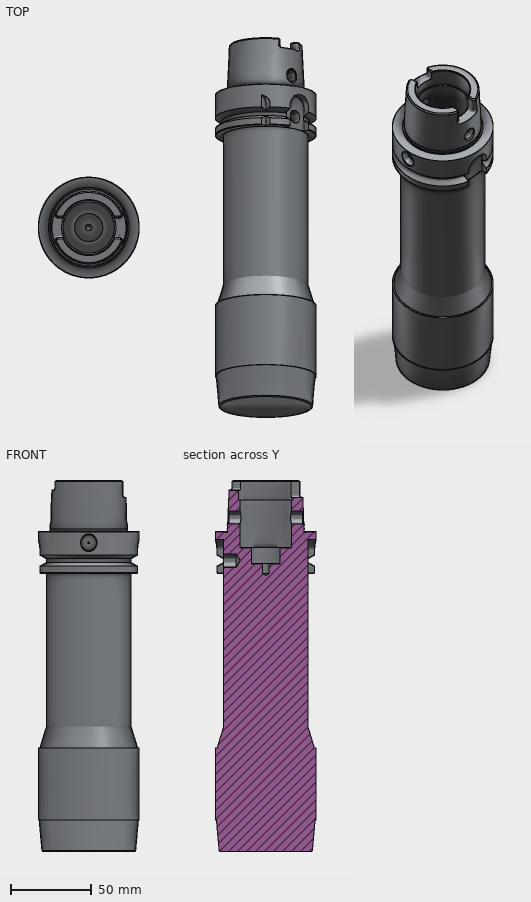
import math

import cadquery as cq

body_length = 199.9
body_radius = 26.5
head_radius = 31.5
shoulder_top_z = -122.0
shoulder_bottom_z = -135.0
shoulder_radius = 30.5
nose_top_z = -180.0
nose_top_radius = 31.0
nose_end_radius = 29.3
nose_chamfer = 0.7

flange_radius = 31.5
flange_height = 26.0
groove_top_z = -14.6
groove_bottom_z = -21.6
groove_radius = 27.5
groove_side_angle = 30
flange_chamfer = 0.4
groove_side_drop = (flange_radius - groove_radius) * math.tan(math.radians(groove_side_angle))

shank_length = 32.0
gauge_radius = 24.0
gauge_z = 6.3
taper_slope = 1 / 20
rim_chamfer = 0.8
relief_depth = 0.2
relief_height = 1.8
face_recess_radius = 25.2
face_recess_depth = 0.3

bore_radius = 17.0
bore_chamfer = 0.5
bore_step_z = 19.8
lower_bore_radius = 16.0
bore_floor_z = -10.0
tube_seat_radius = 8.8
tube_seat_depth = 10.0
pilot_radius = 2.0
pilot_depth = 6.0

slot_half_width = 6.27
slot_mouth_round = 2.35
slot_floor_round = 1.4
slot_rim_chamfer = 0.8
mouth_run_out = 2.0
left_slot_floor_z = 26.0
right_slot_floor_z = 21.4

keyway_half_width = 8.0
keyway_floor_x = 26.5
keyway_arch_z = -12.9
notch_floor_x = -20.9
notch_wall_y = 19.7
notch_arch_radius = 6.0
notch_arch_z = -12.5
shank_hole_radius = 3.8
shank_hole_chamfer = 0.8
shank_hole_z = 8.9
countersink_lead = 0.5
keyway_hole_radius = 4.0
keyway_hole_depth = 8.0
keyway_hole_z = -18.1
chip_hole_radius = 4.9
chip_hole_chamfer = 0.6
chip_hole_depth = 5.0
chip_hole_z = -6.9
chip_pin_radius = 0.6
chip_pin_depth = 1.0
drill_point_angle = 118
margin = 5.0


def taper_radius(z):
    """Radius of the 1:10 shank taper at height z."""
    return gauge_radius - taper_slope * (z - gauge_z)


def drill(start, direction, radius, depth):
    """A round drilled hole with a conical point beyond its full-width depth."""
    point_length = radius / math.tan(math.radians(drill_point_angle / 2))
    start = cq.Vector(*start)
    direction = cq.Vector(*direction)
    hole = cq.Solid.makeCylinder(radius, depth, start, direction)
    point = cq.Solid.makeCone(radius, 0, point_length, start + direction * depth, direction)
    return cq.Workplane(obj=hole).union(cq.Workplane(obj=point))


def outer_body():
    profile = [
        (0, -body_length),
        (nose_end_radius - nose_chamfer, -body_length),
        (nose_end_radius, -body_length + nose_chamfer),
        (nose_top_radius, nose_top_z),
        (head_radius, nose_top_z),
        (head_radius, shoulder_bottom_z),
        (shoulder_radius, shoulder_bottom_z),
        (body_radius, shoulder_top_z),
        (body_radius, -flange_height),
        (flange_radius - flange_chamfer, -flange_height),
        (flange_radius, -flange_height + flange_chamfer),
        (flange_radius, groove_bottom_z),
        (groove_radius, groove_bottom_z + groove_side_drop),
        (groove_radius, groove_top_z - groove_side_drop),
        (flange_radius, groove_top_z),
        (flange_radius, 0),
        (face_recess_radius, 0),
        (face_recess_radius, -face_recess_depth),
        (taper_radius(0) - relief_depth, -face_recess_depth),
        (taper_radius(0) - relief_depth, relief_height - relief_depth),
        (taper_radius(relief_height), relief_height),
        (taper_radius(shank_length - rim_chamfer), shank_length - rim_chamfer),
        (taper_radius(shank_length) - rim_chamfer, shank_length),
        (0, shank_length),
    ]
    return cq.Workplane("XZ").polyline(profile).close().revolve(360, (0, 0), (0, 1))


def shank_bore():
    seat_floor_z = bore_floor_z - tube_seat_depth
    profile = [
        (0, shank_length),
        (bore_radius + bore_chamfer, shank_length),
        (bore_radius, shank_length - bore_chamfer),
        (bore_radius, bore_step_z),
        (lower_bore_radius, bore_step_z),
        (lower_bore_radius, bore_floor_z),
        (tube_seat_radius, bore_floor_z),
        (tube_seat_radius, seat_floor_z),
        (0, seat_floor_z),
    ]
    bore = cq.Workplane("XZ").polyline(profile).close().revolve(360, (0, 0), (0, 1))
    return bore.union(drill((0, 0, seat_floor_z), (0, 0, -1), pilot_radius, pilot_depth))


def drive_slot(floor_z):
    """Slot on the +X side with rounded floor edges and outer corners rounded into the taper."""
    corner_y = slot_half_width + slot_mouth_round
    mouth_radius = taper_radius(floor_z)
    corner_distance = mouth_radius - slot_mouth_round
    corner_angle = math.asin(corner_y / corner_distance)
    corner_x = corner_distance * math.cos(corner_angle)
    mouth_x = mouth_radius * math.cos(corner_angle)
    mouth_y = mouth_radius * math.sin(corner_angle)
    middle_angle = (corner_angle - math.pi / 2) / 2
    middle_x = corner_x + slot_mouth_round * math.cos(middle_angle)
    middle_y = corner_y + slot_mouth_round * math.sin(middle_angle)
    end_x = mouth_radius + margin
    end_y = mouth_y + mouth_run_out * math.cos(corner_angle)
    run_out_x = mouth_x - mouth_run_out * math.sin(corner_angle)
    wall_top_z = shank_length - slot_rim_chamfer
    outline = (
        cq.Workplane("XY", origin=(0, 0, floor_z))
        .moveTo(0, -slot_half_width)
        .lineTo(corner_x, -slot_half_width)
        .threePointArc((middle_x, -middle_y), (mouth_x, -mouth_y))
        .lineTo(run_out_x, -end_y)
        .lineTo(end_x, -end_y)
        .lineTo(end_x, end_y)
        .lineTo(run_out_x, end_y)
        .lineTo(mouth_x, mouth_y)
        .threePointArc((middle_x, middle_y), (corner_x, slot_half_width))
        .lineTo(0, slot_half_width)
        .close()
    )
    walls = outline.extrude(wall_top_z - floor_z)
    flare = walls.faces(">Z").wires().toPending().extrude(slot_rim_chamfer, taper=-45, combine=False)
    floor_edges = walls.faces("<Z").edges("not(|Y or >Y or <Y)")
    return floor_edges.fillet(slot_floor_round).union(flare)


def arched_cut(floor_x, center_y, arch_z, half_width):
    """Round-topped cut running down through the flange, from x = floor_x towards -X."""
    return (
        cq.Workplane("YZ", origin=(floor_x, 0, 0))
        .moveTo(center_y - half_width, -flange_height)
        .lineTo(center_y - half_width, arch_z)
        .threePointArc((center_y, arch_z + half_width), (center_y + half_width, arch_z))
        .lineTo(center_y + half_width, -flange_height)
        .close()
        .extrude(-flange_radius)
    )


def shank_cross_hole():
    """Hole through both shank walls along X, chamfered on the outside."""
    hole = cq.Workplane("YZ").center(0, shank_hole_z).circle(shank_hole_radius)
    hole = hole.extrude(flange_radius, both=True)
    wall = taper_radius(shank_hole_z)
    for side in (-1, 1):
        countersink = cq.Solid.makeCone(
            shank_hole_radius + shank_hole_chamfer + countersink_lead,
            shank_hole_radius,
            shank_hole_chamfer + countersink_lead,
            cq.Vector(side * (wall + countersink_lead), 0, shank_hole_z),
            cq.Vector(-side, 0, 0),
        )
        hole = hole.union(cq.Workplane(obj=countersink))
    return hole


def chip_hole():
    """Flat-bottomed blind hole in the -Y side of the flange with a small centre pin hole."""
    inward = cq.Vector(0, 1, 0)
    mouth = cq.Vector(0, -flange_radius, chip_hole_z)
    floor = mouth + inward * chip_hole_depth
    hole = cq.Solid.makeCylinder(chip_hole_radius, chip_hole_depth, mouth, inward)
    countersink = cq.Solid.makeCone(
        chip_hole_radius + chip_hole_chamfer, chip_hole_radius, chip_hole_chamfer, mouth, inward
    )
    pin = cq.Solid.makeCylinder(chip_pin_radius, chip_pin_depth, floor, inward)
    return cq.Workplane(obj=hole).union(cq.Workplane(obj=countersink)).union(cq.Workplane(obj=pin))


keyway = arched_cut(-keyway_floor_x, 0, keyway_arch_z, keyway_half_width)
notch = arched_cut(notch_floor_x, notch_wall_y + notch_arch_radius, notch_arch_z, notch_arch_radius)
keyway_hole = drill((-keyway_floor_x, 0, keyway_hole_z), (1, 0, 0), keyway_hole_radius, keyway_hole_depth)

result = (
    outer_body()
    .cut(shank_bore())
    .cut(drive_slot(right_slot_floor_z))
    .cut(drive_slot(left_slot_floor_z).mirror("YZ"))
    .cut(keyway)
    .cut(keyway.mirror("YZ"))
    .cut(notch)
    .cut(shank_cross_hole())
    .cut(keyway_hole)
    .cut(chip_hole())
)